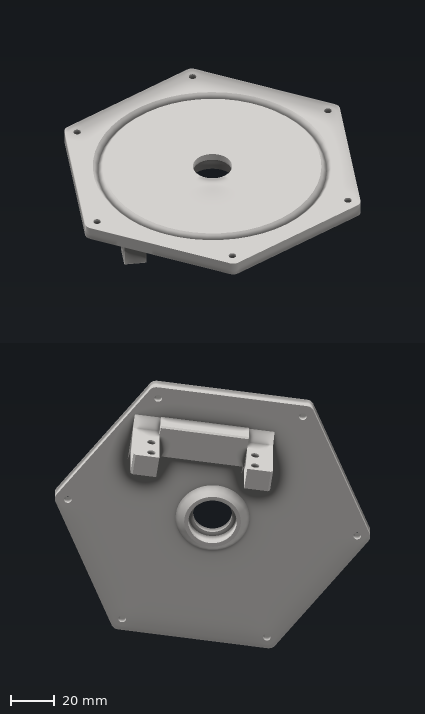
import cadquery as cq
import math

LENGTH = 146.0
ACROSS_FLATS = 127.4
PLATE_THICKNESS = 6.3
OVERALL_HEIGHT = 36.5
SCREW_DIAMETER = 3.5
SCREW_CIRCLE_RADIUS = 67.0

GROOVE_OUTER_RADIUS = 54.9
GROOVE_INNER_RADIUS = 49.9

BORE_DIAMETER = 18.0
COUNTERBORE_DIAMETER = 22.2
COUNTERBORE_CEILING = -3.4
BOSS_TIP_RADIUS = 13.0
BOSS_HEIGHT = 4.0

BRACKET_ANGLE = 210.0
BRACKET_SHIFT = -10.5
LEG_GAP = 40.7
LEG_WIDTH = 12.0
LEG_DEPTH = 10.2
LEG_FACE = 43.6
LEG_CHAMFER = 1.0
FRONT_FLARE = 4.7
BACK_FLARE = 9.0
BLOCK_FACE = 48.8
BLOCK_HEIGHT = 9.6
BLOCK_CHAMFER = 0.7
PIN_DIAMETER = 4.0
PIN_INSET = 3.6
UPPER_PIN_Z = -22.5
PIN_SPACING = 9.9

PLATE_BOTTOM = -PLATE_THICKNESS
LEG_BACK = LEG_FACE - LEG_DEPTH


def make_plate():
    corner_diameter = ACROSS_FLATS / math.cos(math.pi / 6)
    trim = (corner_diameter - LENGTH) / 2
    corner_radius = trim / (1 / math.cos(math.pi / 6) - 1)
    plate = cq.Workplane("XY").polygon(6, corner_diameter).extrude(-PLATE_THICKNESS)
    plate = plate.edges("|Z").fillet(corner_radius)
    screws = (
        cq.Workplane("XY")
        .polarArray(SCREW_CIRCLE_RADIUS, 0, 360, 6)
        .circle(SCREW_DIAMETER / 2)
        .extrude(-PLATE_THICKNESS)
    )
    return plate.cut(screws)


def make_groove():
    depth = (GROOVE_OUTER_RADIUS - GROOVE_INNER_RADIUS) / 2
    profile = [
        (GROOVE_INNER_RADIUS, 0),
        (GROOVE_INNER_RADIUS + depth, -depth),
        (GROOVE_OUTER_RADIUS, 0),
    ]
    return cq.Workplane("XZ").polyline(profile).close().revolve(360, (0, 0), (0, 1))


def make_boss():
    boss_bottom = PLATE_BOTTOM - BOSS_HEIGHT
    profile = [
        (0, PLATE_BOTTOM),
        (BOSS_TIP_RADIUS + BOSS_HEIGHT, PLATE_BOTTOM),
        (BOSS_TIP_RADIUS, boss_bottom),
        (0, boss_bottom),
    ]
    return cq.Workplane("XZ").polyline(profile).close().revolve(360, (0, 0), (0, 1))


def make_bore():
    boss_bottom = PLATE_BOTTOM - BOSS_HEIGHT
    bore = cq.Workplane("XY").circle(BORE_DIAMETER / 2).extrude(boss_bottom)
    counterbore = (
        cq.Workplane("XY", origin=(0, 0, COUNTERBORE_CEILING))
        .circle(COUNTERBORE_DIAMETER / 2)
        .extrude(boss_bottom - COUNTERBORE_CEILING)
    )
    return bore.union(counterbore)



def make_leg(side):
    """Leg on the +Y (side = 1) or -Y (side = -1) end of the bracket."""
    profile = [
        (LEG_FACE, -OVERALL_HEIGHT),
        (LEG_FACE, PLATE_BOTTOM - FRONT_FLARE),
        (LEG_FACE + FRONT_FLARE, PLATE_BOTTOM),
        (LEG_BACK - BACK_FLARE, PLATE_BOTTOM),
        (LEG_BACK, PLATE_BOTTOM - BACK_FLARE),
        (LEG_BACK, -OVERALL_HEIGHT),
    ]
    middle = side * (LEG_GAP + LEG_WIDTH) / 2
    leg = (
        cq.Workplane("XZ", origin=(0, middle, 0))
        .polyline(profile)
        .close()
        .extrude(LEG_WIDTH / 2, both=True)
    )
    outer_side = ">Y" if side > 0 else "<Y"
    leg = leg.faces("<Z").edges(outer_side).chamfer(LEG_CHAMFER)
    pin_y = side * (LEG_GAP / 2 + PIN_INSET)
    pins = (
        cq.Workplane("YZ", origin=(LEG_BACK, 0, 0))
        .pushPoints([(pin_y, UPPER_PIN_Z), (pin_y, UPPER_PIN_Z - PIN_SPACING)])
        .circle(PIN_DIAMETER / 2)
        .extrude(LEG_DEPTH)
    )
    return leg.cut(pins)


def make_bracket():
    block = (
        cq.Workplane("XY", origin=(0, 0, PLATE_BOTTOM))
        .center((BLOCK_FACE + LEG_BACK) / 2, 0)
        .rect(BLOCK_FACE - LEG_BACK, LEG_GAP)
        .extrude(-BLOCK_HEIGHT)
    )
    block = block.faces("<Z").edges(">X").chamfer(BLOCK_CHAMFER)
    bracket = block.union(make_leg(1)).union(make_leg(-1))
    bracket = bracket.translate((0, BRACKET_SHIFT, 0))
    return bracket.rotate((0, 0, 0), (0, 0, 1), BRACKET_ANGLE)


result = make_plate().union(make_boss()).union(make_bracket())
result = result.cut(make_groove()).cut(make_bore())